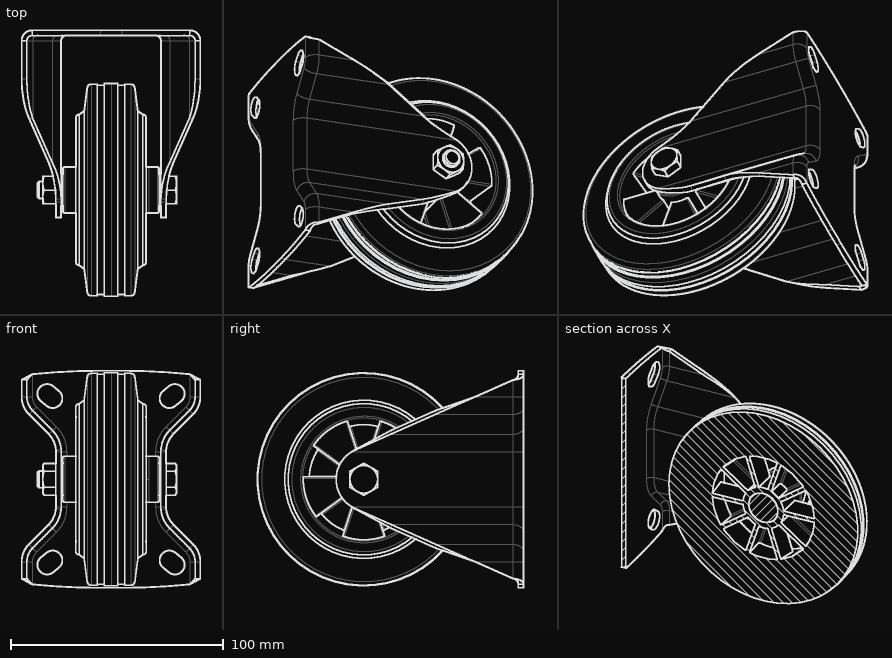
import cadquery as cq
import math


SHEET = 2.5
PLATE_Y = 75.0
PLATE_HALF_X = 42.0
LEG_HALF_X = 25.9
PLATE_HALF_Z = 51.0
PLATE_FLAT_HALF_X = 5.1
PLATE_CORNER_Z = 49.4
WALL_CORNER_Z = 46.6
PLATE_BEND_RADIUS = 5.0
LEG_BEND_RADIUS = 11.6
LEG_FLAT_HALF_Z = 13.0
LEG_TIP_RADIUS = 15.0
LEG_TIP_Y = -13.0
SLOT_WIDTH = 9.0
SLOT_OUTER_CENTRE = (30.0, 40.1)
SLOT_INNER_CENTRE = (27.4, 38.0)
LEG_INNER_X = LEG_HALF_X - SHEET

BOLT_DIAMETER = 8.0
BOLT_TIP_X = -34.5
BOLT_TIP_CHAMFER = 0.8
HEX_FLATS = 13.0
NUT_END_X = -32.0
HEAD_END_X = 30.8
HEX_CHAMFER_ANGLE = 30.0
SLEEVE_DIAMETER = 15.0

WHEEL_RADIUS = 50.0
HUB_RADIUS = 10.9
HUB_HALF_X = 22.6
HUB_EDGE_FILLET = 1.0
RIM_HALF_X = 16.5
RIM_RADIUS = 35.5
RIM_EDGE_FILLET = 1.6
TYRE_FOOT_X = 12.6
TYRE_FOOT_RADIUS = 37.1
TYRE_HALF_X = 11.0
SHOULDER_RADIUS = 49.8
SHOULDER_FILLET = 2.0
GROOVE_INNER_X = 3.2
GROOVE_OUTER_X = 6.5
GROOVE_RADIUS = 49.2
RECESS_RADIUS = 29.0
RECESS_EDGE_FILLET = 0.9
RECESS_DRAFT = 7.5
WEB_FACE_X = 11.9
WEB_THICKNESS = 3.0
WEB_FILLET = 0.8
POCKETS_PER_SIDE = 5
POCKET_WALL = 2.2

MARGIN = 1.2
TOLERANCE = 0.01


def folded_block():
    """Solid whose walls are the outer faces of the bent sheet, before its edges are trimmed."""
    half_angle = math.pi / 8
    bend_dx = LEG_BEND_RADIUS * (1 - math.cos(2 * half_angle))
    bend_dz = LEG_BEND_RADIUS * math.sin(2 * half_angle)
    mid_dx = LEG_BEND_RADIUS * (1 - math.cos(half_angle))
    mid_dz = LEG_BEND_RADIUS * math.sin(half_angle)
    inner_bend_z = LEG_FLAT_HALF_Z + bend_dz
    outer_bend_z = inner_bend_z + PLATE_HALF_X - LEG_HALF_X - 2 * bend_dx
    flare_end_z = outer_bend_z + bend_dz
    quarter = (
        cq.Workplane("XZ", origin=(0, PLATE_Y, 0))
        .lineTo(LEG_HALF_X, 0)
        .lineTo(LEG_HALF_X, LEG_FLAT_HALF_Z)
        .threePointArc(
            (LEG_HALF_X + mid_dx, LEG_FLAT_HALF_Z + mid_dz),
            (LEG_HALF_X + bend_dx, inner_bend_z),
        )
        .lineTo(PLATE_HALF_X - bend_dx, outer_bend_z)
        .threePointArc((PLATE_HALF_X - mid_dx, flare_end_z - mid_dz), (PLATE_HALF_X, flare_end_z))
        .lineTo(PLATE_HALF_X, PLATE_HALF_Z + MARGIN)
        .lineTo(0, PLATE_HALF_Z + MARGIN)
        .close()
        .extrude(PLATE_Y - LEG_TIP_Y + MARGIN)
    )
    half = quarter.union(quarter.mirror("XY"))
    block = half.union(half.mirror("YZ")).clean()
    return block.faces(">Y").edges("not |X").fillet(PLATE_BEND_RADIUS)


def plate_outline():
    """Prism along Y: slightly bowed top and bottom edges with cut corners."""
    bend_x = PLATE_HALF_X - PLATE_BEND_RADIUS
    chord = math.hypot(bend_x - PLATE_FLAT_HALF_X, PLATE_HALF_Z - PLATE_CORNER_Z)
    bow_radius = chord**2 / (2 * (PLATE_HALF_Z - PLATE_CORNER_Z))
    half_turn = math.asin((bend_x - PLATE_FLAT_HALF_X) / bow_radius) / 2
    bow_mid = (
        PLATE_FLAT_HALF_X + bow_radius * math.sin(half_turn),
        PLATE_HALF_Z - bow_radius * (1 - math.cos(half_turn)),
    )
    quarter = (
        cq.Workplane("XZ", origin=(0, PLATE_Y, 0))
        .lineTo(0, PLATE_HALF_Z)
        .lineTo(PLATE_FLAT_HALF_X, PLATE_HALF_Z)
        .threePointArc(bow_mid, (bend_x, PLATE_CORNER_Z))
        .lineTo(PLATE_HALF_X, WALL_CORNER_Z)
        .lineTo(PLATE_HALF_X, 0)
        .close()
        .extrude(PLATE_Y - LEG_TIP_Y + MARGIN)
    )
    half = quarter.union(quarter.mirror("XY"))
    return half.union(half.mirror("YZ")).clean()


def leg_outline():
    """Prism along X: legs taper from the plate bend to a round tip."""
    wall_y = PLATE_Y - PLATE_BEND_RADIUS
    tip_centre_y = LEG_TIP_Y + LEG_TIP_RADIUS
    run = wall_y - tip_centre_y
    reach = math.hypot(run, WALL_CORNER_Z)
    tangent_angle = math.atan2(WALL_CORNER_Z, run) + math.acos(LEG_TIP_RADIUS / reach)
    tangent_y = tip_centre_y + LEG_TIP_RADIUS * math.cos(tangent_angle)
    tangent_z = LEG_TIP_RADIUS * math.sin(tangent_angle)
    return (
        cq.Workplane("YZ")
        .moveTo(PLATE_Y, PLATE_HALF_Z)
        .lineTo(wall_y, PLATE_HALF_Z)
        .lineTo(wall_y, WALL_CORNER_Z)
        .lineTo(tangent_y, tangent_z)
        .threePointArc((LEG_TIP_Y, 0), (tangent_y, -tangent_z))
        .lineTo(wall_y, -WALL_CORNER_Z)
        .lineTo(wall_y, -PLATE_HALF_Z)
        .lineTo(PLATE_Y, -PLATE_HALF_Z)
        .close()
        .extrude(PLATE_HALF_X, both=True)
    )


def slot_cutter():
    """One mounting slot, in the +X +Z quarter of the plate."""
    x_outer, z_outer = SLOT_OUTER_CENTRE
    x_inner, z_inner = SLOT_INNER_CENTRE
    length = math.hypot(x_outer - x_inner, z_outer - z_inner) + SLOT_WIDTH
    tilt = math.degrees(math.atan2(z_outer - z_inner, x_outer - x_inner))
    return (
        cq.Workplane("XZ", origin=((x_outer + x_inner) / 2, PLATE_Y, (z_outer + z_inner) / 2))
        .slot2D(length, SLOT_WIDTH, tilt)
        .extrude(SHEET)
    )


def make_bracket():
    """Trim the outer skin of the folded sheet, then thicken it inward square to its faces."""
    block = folded_block()
    outline = plate_outline().intersect(leg_outline())
    skin = [face.intersect(outline.val()) for face in block.faces("not(<Y or <Z or >Z)").vals()]
    sheet = cq.occ_impl.shapes.offset(cq.occ_impl.shapes.shell(*skin), -SHEET)
    body = cq.Workplane(sheet)
    slot = slot_cutter()
    for cutter in (slot, slot.mirror("YZ")):
        body = body.cut(cutter).cut(cutter.mirror("XY"))
    bolt_hole = cq.Workplane("YZ").circle(BOLT_DIAMETER / 2).extrude(PLATE_HALF_X, both=True)
    return body.cut(bolt_hole)


def hexagon(near_x, far_x):
    """Hexagonal prism between two X positions, its far corners chamfered down to the flats."""
    corner_radius = HEX_FLATS / math.sqrt(3)
    length = abs(far_x - near_x)
    drop = (corner_radius - HEX_FLATS / 2) * math.tan(math.radians(HEX_CHAMFER_ANGLE))
    prism = (
        cq.Workplane("YZ")
        .polygon(6, 2 * corner_radius)
        .extrude(length)
        .rotate((0, 0, 0), (1, 0, 0), 90)
    )
    envelope = (
        cq.Workplane("XY")
        .lineTo(0, corner_radius)
        .lineTo(length - drop, corner_radius)
        .lineTo(length, HEX_FLATS / 2)
        .lineTo(length, 0)
        .close()
        .revolve(360, (0, 0, 0), (1, 0, 0))
    )
    piece = prism.intersect(envelope)
    if far_x < near_x:
        piece = piece.mirror("YZ")
    return piece.translate((near_x, 0, 0))


def make_axle():
    """Bolt with its head, nut and spacer sleeve as one body."""
    bolt = (
        cq.Workplane("YZ", origin=(BOLT_TIP_X, 0, 0))
        .circle(BOLT_DIAMETER / 2)
        .extrude(HEAD_END_X - BOLT_TIP_X)
        .faces("<X")
        .chamfer(BOLT_TIP_CHAMFER)
    )
    sleeve = cq.Workplane("YZ").circle(SLEEVE_DIAMETER / 2).extrude(LEG_INNER_X, both=True)
    nut = hexagon(-LEG_HALF_X, NUT_END_X)
    head = hexagon(LEG_HALF_X, HEAD_END_X)
    return bolt.union(sleeve).union(nut).union(head)


def recess_wall_radius(x):
    """Radius of the drafted wall inside the rim at a distance x from the middle plane."""
    return RECESS_RADIUS - (RIM_HALF_X - x) * math.tan(math.radians(RECESS_DRAFT))


def wheel_blank():
    """Tyre, rim and hub as one turned shape, solid between hub and rim."""
    half = (
        cq.Workplane("XY")
        .moveTo(0, SLEEVE_DIAMETER / 2)
        .lineTo(HUB_HALF_X, SLEEVE_DIAMETER / 2)
        .lineTo(HUB_HALF_X, HUB_RADIUS)
        .lineTo(RIM_HALF_X, HUB_RADIUS)
        .lineTo(RIM_HALF_X, RIM_RADIUS - RIM_EDGE_FILLET)
        .radiusArc((RIM_HALF_X - RIM_EDGE_FILLET, RIM_RADIUS), -RIM_EDGE_FILLET)
        .lineTo(TYRE_FOOT_X, TYRE_FOOT_RADIUS)
        .lineTo(TYRE_HALF_X, SHOULDER_RADIUS)
        .lineTo(GROOVE_OUTER_X, SHOULDER_RADIUS)
        .lineTo(GROOVE_OUTER_X, GROOVE_RADIUS)
        .lineTo(GROOVE_INNER_X, GROOVE_RADIUS)
        .lineTo(GROOVE_INNER_X, WHEEL_RADIUS)
        .lineTo(0, WHEEL_RADIUS)
        .close()
        .revolve(360, (0, 0, 0), (1, 0, 0))
    )
    half = round_ring(half, HUB_HALF_X, HUB_RADIUS, HUB_EDGE_FILLET)
    half = round_ring(half, TYRE_HALF_X, SHOULDER_RADIUS, SHOULDER_FILLET)
    return half.union(half.mirror("YZ"))


def round_ring(body, x, radius, fillet):
    """Fillet the circular edges of the given radius at position x."""
    edges = [
        edge
        for edge in body.edges("%CIRCLE").vals()
        if abs(edge.Center().x - x) < TOLERANCE and abs(edge.radius() - radius) < TOLERANCE
    ]
    return body.newObject(edges).fillet(fillet)


def side_cavity():
    """Hollow between hub and rim on the -X side: a drafted ring left shallow in alternate sectors."""
    floor_x = WEB_FACE_X - WEB_THICKNESS
    mouth_x = RIM_HALF_X + MARGIN
    ring = (
        cq.Workplane("XY")
        .moveTo(-mouth_x, HUB_RADIUS)
        .lineTo(floor_x, HUB_RADIUS)
        .lineTo(floor_x, recess_wall_radius(-floor_x))
        .lineTo(-mouth_x, recess_wall_radius(mouth_x))
        .close()
        .revolve(360, (0, 0, 0), (1, 0, 0))
    )
    half_sector = math.pi / (2 * POCKETS_PER_SIDE)
    apex_z = -POCKET_WALL / 2 / math.sin(half_sector)
    spread = RIM_RADIUS * math.tan(half_sector)
    step = (
        cq.Workplane("YZ", origin=(-WEB_FACE_X, 0, 0))
        .moveTo(0, apex_z)
        .lineTo(spread, apex_z + RIM_RADIUS)
        .lineTo(-spread, apex_z + RIM_RADIUS)
        .close()
        .extrude(2 * WEB_FACE_X)
    )
    for index in range(POCKETS_PER_SIDE):
        ring = ring.cut(step.rotate((0, 0, 0), (1, 0, 0), index * 360 / POCKETS_PER_SIDE))
    ring = flat_edges(ring, -WEB_FACE_X, "%LINE").fillet(WEB_FILLET)
    ring = flat_edges(ring, floor_x, "%LINE").fillet(WEB_FILLET)
    return ring


def flat_edges(body, x, kind):
    """Edges of one geometry type that lie in the plane at position x."""
    return body.newObject([
        edge
        for edge in body.edges(kind).vals()
        if edge.BoundingBox().xlen < TOLERANCE and abs(edge.Center().x - x) < TOLERANCE
    ])


def make_wheel():
    """Turned wheel hollowed from both sides, its deep pockets alternating between the sides."""
    cavity = side_cavity()
    wheel = wheel_blank().cut(cavity).cut(cavity.mirror("YZ").rotate((0, 0, 0), (1, 0, 0), 180))
    for x in (-RIM_HALF_X, RIM_HALF_X):
        wheel = round_ring(wheel, x, RECESS_RADIUS, RECESS_EDGE_FILLET)
    return wheel


bracket = make_bracket()
wheel = make_wheel()
axle = make_axle()
result = cq.Compound.makeCompound([bracket.solids().val(), wheel.solids().val(), axle.solids().val()])